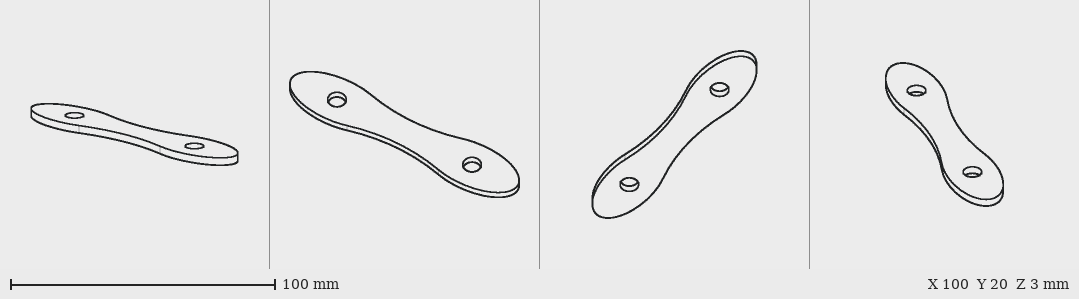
import cadquery as cq
import math

length = 100.0
width = 20.0
thickness = 3.0
hole_spacing = 60.0
hole_diameter = 7.0
waist_width = 12.0
joint_x = 20.3

lobe_x = hole_spacing / 2
lobe_half_length = length / 2 - lobe_x
lobe_half_width = width / 2
hole_centers = [(-lobe_x, 0), (lobe_x, 0)]

joint_offset = (lobe_x - joint_x) / lobe_half_length
joint_y = lobe_half_width * math.sqrt(1 - joint_offset**2)


def make_lobes():
    return (
        cq.Workplane("XY")
        .pushPoints(hole_centers)
        .ellipse(lobe_half_length, lobe_half_width)
        .extrude(thickness)
    )


def make_waist():
    """Middle section with a concave arc along each long edge."""
    return (
        cq.Workplane("XY")
        .moveTo(-joint_x, joint_y)
        .threePointArc((0, waist_width / 2), (joint_x, joint_y))
        .lineTo(joint_x, -joint_y)
        .threePointArc((0, -waist_width / 2), (-joint_x, -joint_y))
        .close()
        .extrude(thickness)
    )


def make_holes():
    return (
        cq.Workplane("XY")
        .pushPoints(hole_centers)
        .circle(hole_diameter / 2)
        .extrude(thickness)
    )


result = make_lobes().union(make_waist()).clean().cut(make_holes())